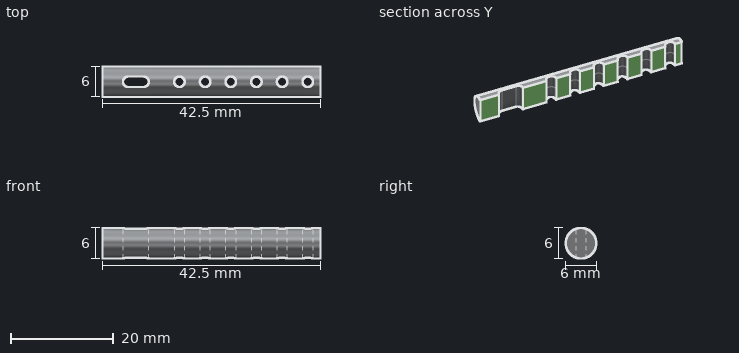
import cadquery as cq

pin_length = 42.5
pin_diameter = 6.0

hole_diameter = 2.0
hole_pitch = 5.0
hole_count = 6
last_hole_to_end = 2.5
last_hole_x = pin_length - last_hole_to_end

slot_length = 5.0
slot_start_x = 4.0
slot_center_x = slot_start_x + slot_length / 2


def make_pin():
    return cq.Workplane("YZ").circle(pin_diameter / 2).extrude(pin_length)


def make_cross_holes():
    centers = [(last_hole_x - i * hole_pitch, 0) for i in range(hole_count)]
    return (
        cq.Workplane("XY")
        .pushPoints(centers)
        .circle(hole_diameter / 2)
        .extrude(pin_diameter, both=True)
    )


def make_slot():
    return (
        cq.Workplane("XY")
        .center(slot_center_x, 0)
        .slot2D(slot_length, hole_diameter)
        .extrude(pin_diameter, both=True)
    )


result = make_pin().cut(make_cross_holes()).cut(make_slot())